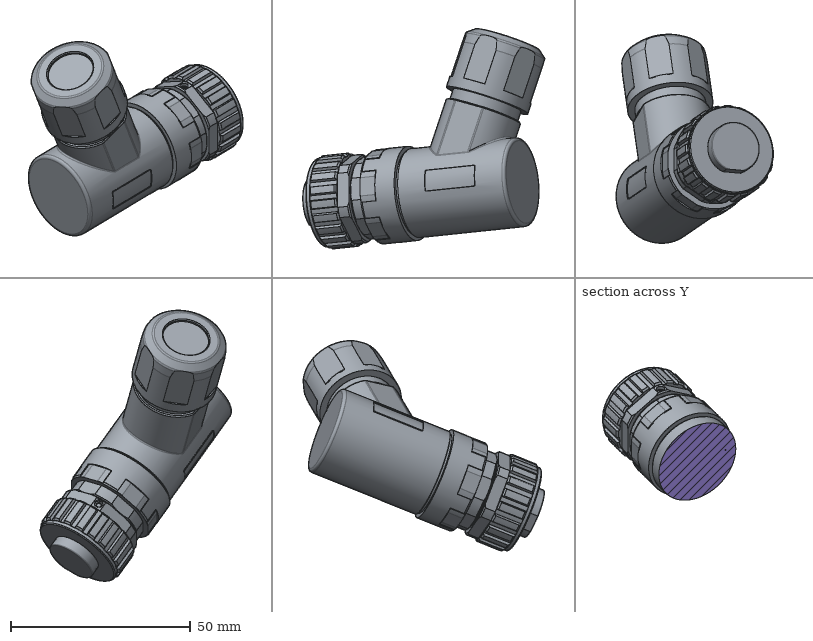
import cadquery as cq
import math


PLUG_LENGTH = 3.2
FLANGE_LENGTH = 1.25
RIB_LENGTH = 8.15
LOCK_NUT_LENGTH = 3.4
NUT_GAP_LENGTH = 0.3
CLAMP_NUT_LENGTH = 3.65
COLLAR_LENGTH = 10.55
NOTCH_LENGTH = 4.65
HOUSING_NECK_LENGTH = 0.75
HOUSING_LENGTH = 32.55

PLUG_TIP = 44.12
RING_FRONT = PLUG_TIP - PLUG_LENGTH
RIB_FRONT = RING_FRONT - FLANGE_LENGTH
RIB_BACK = RIB_FRONT - RIB_LENGTH
LOCK_NUT_BACK = RIB_BACK - LOCK_NUT_LENGTH
CLAMP_NUT_FRONT = LOCK_NUT_BACK - NUT_GAP_LENGTH
COLLAR_FRONT = CLAMP_NUT_FRONT - CLAMP_NUT_LENGTH
NOTCH_END = COLLAR_FRONT - NOTCH_LENGTH
COLLAR_BACK = COLLAR_FRONT - COLLAR_LENGTH
HOUSING_FRONT = COLLAR_BACK - HOUSING_NECK_LENGTH
HOUSING_BACK = HOUSING_FRONT - HOUSING_LENGTH

PLUG_RADIUS = 7.1
PLUG_EDGE_FILLET = 0.2
PLUG_FLAT_DROP = 6.6
RING_RADIUS = 12.5
RING_EDGE_CHAMFER = 0.3
RIB_COUNT = 20
RIB_RADIUS = 13.1
RIB_FLOOR_RADIUS = 12.3
RIB_TOP_HALF_ANGLE = 4.6
RIB_ROOT_HALF_ANGLE = 5.9
RIB_PHASE = -1.4
RIB_END_CHAMFER = 0.5

LOCK_NUT_RADIUS = 12.5
LOCK_NUT_APOTHEM = 11.5
LOCK_NUT_CHAMFER = 0.4
PIN_HOLE_RADIUS = 1.15
PIN_HOLE_DEPTH = 1.0
PIN_BORE_RADIUS = 0.7
PIN_BORE_DEPTH = 1.5
PIN_HOLE_SETBACK = 1.75
CLAMP_NUT_RADIUS = 11.5
CLAMP_NUT_APOTHEM = 11.05
CLAMP_NUT_CHAMFER = 0.4
NUT_GAP_RADIUS = 10.6

COLLAR_RADIUS = 13.25
COLLAR_CHAMFER_LENGTH = 0.5
COLLAR_CHAMFER_DEPTH = 0.3
NOTCH_COUNT = 6
NOTCH_HALF_ANGLE = 19.5
NOTCH_RADIUS = 13.0
NOTCH_APOTHEM = 12.73

HOUSING_NECK_RADIUS = 11.9
HOUSING_RADIUS = 12.5
HOUSING_END_FILLET = 0.9
PANEL_LENGTH = 15.1
PANEL_HEIGHT = 6.0
PANEL_CORNER_RADIUS = 0.4
PANEL_DEPTH = 0.3
PANEL_CENTRE = -2.85

BRANCH_TILT = 20.0
BRANCH_RADIUS = 10.95
BRANCH_HALF_WIDTH = 10.0
BRANCH_HEIGHT = 23.05
BRANCH_EDGE_FILLET = 1.0
BRANCH_TOP_CHAMFER = 0.35
BRANCH_ROOT_FILLET = 0.4
GLAND_NECK_RADIUS = 10.0
CAP_BASE = 26.15
CAP_HEIGHT = 18.0
CAP_RADIUS = 12.0
CAP_TAPER_START = 13.0
CAP_SHOULDER_HEIGHT = 16.1
CAP_SHOULDER_RADIUS = 11.78
CAP_TOP_RADIUS = 9.4
CAP_TOP_FILLET = 0.9
CAP_SHOULDER_FILLET = 0.8
CAP_FLAT_APOTHEM = 11.5
CAP_FLAT_START = 3.0
CAP_RECESS_RADIUS = 6.5
CAP_RECESS_CHAMFER = 0.3
CAP_RECESS_DEPTH = 0.8

HEX_SIDES = 6
HEX_STEP = 360 / HEX_SIDES
HEX_TURN = HEX_STEP / 2
CUT_CLEARANCE = 1.0


def main_plane(y):
    """Plane across the main axis at the given Y, facing -Y."""
    return cq.Workplane("XZ", origin=(0, y, 0))


def main_disc(front, back, radius):
    """Round stretch of the main axis."""
    return main_plane(front).circle(radius).extrude(front - back)


def hexagon(plane, apothem, length):
    """Hexagonal prism with flats facing +X and -X."""
    corner_radius = apothem / math.cos(math.radians(HEX_TURN))
    corners = []
    for index in range(HEX_SIDES):
        angle = math.radians(HEX_TURN + HEX_STEP * index)
        corners.append((corner_radius * math.cos(angle), corner_radius * math.sin(angle)))
    return plane.polyline(corners).close().extrude(length)


def main_polar(radius, degrees):
    """Point in a plane across the main axis, the angle running from +Z towards -X."""
    angle = math.radians(degrees)
    return (-radius * math.sin(angle), radius * math.cos(angle))


def branch_plane(height):
    """Plane across the branch axis at the given height along it."""
    tilt = math.radians(BRANCH_TILT)
    axis = cq.Vector(0, -math.sin(tilt), math.cos(tilt))
    return cq.Workplane(cq.Plane(origin=(axis * height).toTuple(), xDir=(1, 0, 0), normal=axis.toTuple()))


def make_plug():
    plug = main_disc(PLUG_TIP, RIB_BACK, PLUG_RADIUS).faces(">Y").edges().fillet(PLUG_EDGE_FILLET)
    keep_height = PLUG_RADIUS + PLUG_FLAT_DROP
    keep = (
        main_plane(PLUG_TIP)
        .center(0, PLUG_RADIUS - keep_height / 2)
        .rect(2 * PLUG_RADIUS, keep_height)
        .extrude(PLUG_TIP - RIB_BACK)
    )
    return plug.intersect(keep)


def make_coupling_ring():
    flange = main_disc(RING_FRONT, RIB_FRONT, RING_RADIUS).faces(">Y").edges().chamfer(RING_EDGE_CHAMFER)
    ribs = main_disc(RIB_FRONT, RIB_BACK, RIB_RADIUS).edges().chamfer(RIB_END_CHAMFER)

    pitch = 360 / RIB_COUNT
    root_half = pitch / 2 - RIB_ROOT_HALF_ANGLE
    top_half = pitch / 2 - RIB_TOP_HALF_ANGLE
    for index in range(RIB_COUNT):
        middle = RIB_PHASE + (index + 0.5) * pitch
        groove = (
            main_plane(RIB_FRONT)
            .moveTo(*main_polar(RIB_FLOOR_RADIUS, middle - root_half))
            .threePointArc(
                main_polar(RIB_FLOOR_RADIUS, middle),
                main_polar(RIB_FLOOR_RADIUS, middle + root_half),
            )
            .lineTo(*main_polar(RIB_RADIUS, middle + top_half))
            .lineTo(*main_polar(RIB_RADIUS + CUT_CLEARANCE, middle))
            .lineTo(*main_polar(RIB_RADIUS, middle - top_half))
            .close()
            .extrude(RIB_LENGTH)
        )
        ribs = ribs.cut(groove)
    return flange.union(ribs)


def make_lock_nut():
    nut = main_disc(RIB_BACK, LOCK_NUT_BACK, LOCK_NUT_RADIUS).faces("<Y").edges().chamfer(LOCK_NUT_CHAMFER)
    nut = nut.intersect(hexagon(main_plane(RIB_BACK), LOCK_NUT_APOTHEM, LOCK_NUT_LENGTH))
    hole_centre = (0, RIB_BACK - PIN_HOLE_SETBACK, LOCK_NUT_RADIUS)
    pin_hole = cq.Workplane("XY", origin=hole_centre).circle(PIN_HOLE_RADIUS).extrude(-PIN_HOLE_DEPTH)
    pin_bore = cq.Workplane("XY", origin=hole_centre).circle(PIN_BORE_RADIUS).extrude(-PIN_BORE_DEPTH)
    return nut.cut(pin_hole).cut(pin_bore)


def make_clamp_nut():
    nut = main_disc(CLAMP_NUT_FRONT, COLLAR_FRONT, CLAMP_NUT_RADIUS)
    nut = nut.faces(">Y").edges().chamfer(CLAMP_NUT_CHAMFER)
    nut = nut.intersect(hexagon(main_plane(CLAMP_NUT_FRONT), CLAMP_NUT_APOTHEM, CLAMP_NUT_LENGTH))
    gap = main_disc(LOCK_NUT_BACK, CLAMP_NUT_FRONT, NUT_GAP_RADIUS)
    return nut.union(gap)


def make_collar():
    collar = main_disc(COLLAR_FRONT, COLLAR_BACK, COLLAR_RADIUS)
    collar = collar.faces(">Y").edges().chamfer(COLLAR_CHAMFER_LENGTH, COLLAR_CHAMFER_DEPTH)

    core = main_disc(COLLAR_FRONT, NOTCH_END, NOTCH_RADIUS)
    core = core.intersect(hexagon(main_plane(COLLAR_FRONT), NOTCH_APOTHEM, NOTCH_LENGTH))
    outer_reach = COLLAR_RADIUS / math.cos(math.radians(NOTCH_HALF_ANGLE)) + CUT_CLEARANCE
    for index in range(NOTCH_COUNT):
        middle = HEX_TURN + index * 360 / NOTCH_COUNT
        wedge = (
            main_plane(COLLAR_FRONT)
            .polyline([
                (0, 0),
                main_polar(outer_reach, middle - NOTCH_HALF_ANGLE),
                main_polar(outer_reach, middle + NOTCH_HALF_ANGLE),
            ])
            .close()
            .extrude(NOTCH_LENGTH)
        )
        collar = collar.cut(wedge.cut(core))
    return collar


def make_housing():
    neck = main_disc(COLLAR_BACK, HOUSING_FRONT, HOUSING_NECK_RADIUS)
    body = main_disc(HOUSING_FRONT, HOUSING_BACK, HOUSING_RADIUS)
    body = body.faces("<Y").edges().fillet(HOUSING_END_FILLET)
    return neck.union(body)


def make_panels():
    """Shallow name-plate recesses on both sides of the housing, as solids to be cut away."""
    plate = (
        cq.Workplane("YZ", origin=(-2 * HOUSING_RADIUS, PANEL_CENTRE, 0))
        .rect(PANEL_LENGTH, PANEL_HEIGHT)
        .extrude(4 * HOUSING_RADIUS)
        .edges("|X")
        .fillet(PANEL_CORNER_RADIUS)
    )
    floor = main_disc(HOUSING_FRONT, HOUSING_BACK, HOUSING_RADIUS - PANEL_DEPTH)
    return plate.cut(floor)


def make_branch():
    stub = branch_plane(0).circle(BRANCH_RADIUS).extrude(BRANCH_HEIGHT)
    slab = branch_plane(0).rect(2 * BRANCH_HALF_WIDTH, 4 * BRANCH_RADIUS).extrude(BRANCH_HEIGHT)
    stub = stub.intersect(slab)
    along_axis = cq.selectors.ParallelDirSelector(branch_plane(0).plane.zDir)
    flat_edges = stub.faces("<X or >X").edges(along_axis)
    stub = flat_edges.fillet(BRANCH_EDGE_FILLET)
    top_face = cq.selectors.DirectionMinMaxSelector(branch_plane(0).plane.zDir)
    return stub.faces(top_face).edges().chamfer(BRANCH_TOP_CHAMFER)


def join_branch(housing, branch):
    """Join the branch to the housing with a small fillet along the seam."""
    joined = housing.union(branch)
    seam = cq.selectors.BoxSelector(
        (-HOUSING_RADIUS, -HOUSING_RADIUS, HOUSING_RADIUS / 2),
        (HOUSING_RADIUS, HOUSING_RADIUS, HOUSING_RADIUS),
    )
    return joined.edges(seam).fillet(BRANCH_ROOT_FILLET)


def make_cap():
    plane = branch_plane(CAP_BASE).plane
    profile_plane = cq.Plane(origin=plane.origin, xDir=plane.xDir, normal=-plane.yDir)
    cap = (
        cq.Workplane(profile_plane)
        .polyline([
            (0, 0),
            (CAP_RADIUS, 0),
            (CAP_RADIUS, CAP_TAPER_START),
            (CAP_SHOULDER_RADIUS, CAP_SHOULDER_HEIGHT),
            (CAP_TOP_RADIUS, CAP_HEIGHT),
            (0, CAP_HEIGHT),
        ])
        .close()
        .revolve(360, (0, 0, 0), (0, 1, 0))
    )
    top_edge = cq.selectors.RadiusNthSelector(0)
    shoulder_edge = cq.selectors.RadiusNthSelector(1)
    cap = cap.edges(shoulder_edge).fillet(CAP_SHOULDER_FILLET)
    cap = cap.edges(top_edge).fillet(CAP_TOP_FILLET)

    flat_plane = branch_plane(CAP_BASE + CAP_FLAT_START)
    flat_length = CAP_HEIGHT - CAP_FLAT_START
    blank = flat_plane.circle(2 * CAP_RADIUS).extrude(flat_length)
    cap = cap.cut(blank.cut(hexagon(flat_plane, CAP_FLAT_APOTHEM, flat_length)))

    recess_floor = branch_plane(CAP_BASE + CAP_HEIGHT - CAP_RECESS_DEPTH)
    cap = cap.cut(recess_floor.circle(CAP_RECESS_RADIUS).extrude(2 * CAP_RECESS_DEPTH))
    rim_base = branch_plane(CAP_BASE + CAP_HEIGHT - CAP_RECESS_CHAMFER)
    rim = rim_base.circle(CAP_RECESS_RADIUS).workplane(offset=CAP_RECESS_CHAMFER)
    rim = rim.circle(CAP_RECESS_RADIUS + CAP_RECESS_CHAMFER).loft(ruled=True)
    cap = cap.cut(rim)
    neck = branch_plane(BRANCH_HEIGHT).circle(GLAND_NECK_RADIUS).extrude(CAP_BASE - BRANCH_HEIGHT)
    return cap.union(neck)


result = join_branch(make_housing(), make_branch()).cut(make_panels())
for section in (make_cap, make_collar, make_clamp_nut, make_lock_nut, make_coupling_ring, make_plug):
    result = result.union(section())